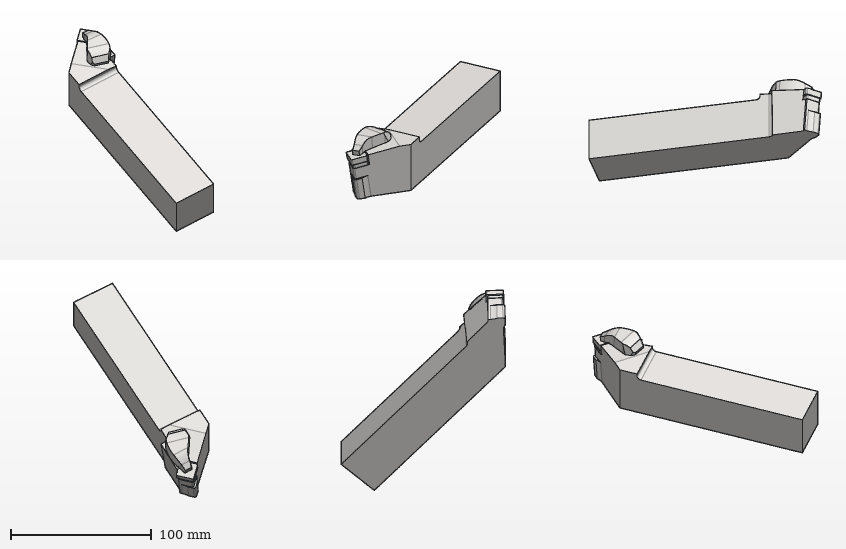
import cadquery as cq
import math

length = 169.5
shank_size = 31.9
head_height = 36.8
head_end_x = 44.7
head_step_radius = 2.9
head_side_y = 37.3
head_side_end_x = 35.0
head_side_radius = 3.0

seat_tilt = 8.0
insert_width = 12.7
insert_length = 12.0
insert_thickness = 4.5
insert_corner = 0.8
tip_y = 39.7
tip_z = 31.7

face_setback = 0.7
overhang = 1.4
nose_radius = 1.0
pocket_gap = 0.8
nose_block_length = 32.2
body_front = 20.3

shim_thickness = 3.2
shim_end_setback = 1.0
shim_face_setback = 0.3
shim_bottom = insert_thickness + shim_thickness

pad_depth = 8.5
pad_stand_out = 0.8
pad_flat = 5.6
pad_reach = 10.3
pad_radius = 1.5
pad_inner = 5.1

clamp_base_z = 30.5
clamp_height = 15.3
clamp_draft = 4.0
crown_x = 24.7
crown_y = 18.6
crown_z = 43.7
crown_roll = 4.0
crown_pitch = 4.0
flank_y = 19.3
flank_lean = 18.0

finger_tip_near = (6.0, 28.1)
finger_tip_far = (6.0, 33.7)
finger_neck_far = (11.0, 35.1)
finger_back_bulge = (19.2, 37.1)
finger_back_end = (29.5, 36.6)
finger_shoulder = (32.7, 35.5)
finger_heel_far = (39.7, 28.8)
finger_heel_near = (37.0, 18.8)
finger_heel_bulge = (32.4, 16.3)
finger_waist = (27.1, 18.0)
finger_bend = (18.3, 23.7)
finger_hollow = (14.5, 26.1)
finger_neck_near = (10.2, 27.1)

crown_tip = (-18.6, -5.6)
crown_slope_end = (-14.4, -3.2)
crown_back = (-10.5, -1.2)
crown_flat_start = (-6.1, 0)

ramp_turn = 15.0
ramp_curve = 7.5
ramp_curve_drop = 2.4
ramp_flat = 6.8
ramp_flat_drop = 8.1

big = 101.7

diagonal = math.sqrt(0.5)
sin_tilt = math.sin(math.radians(seat_tilt))
cos_tilt = math.cos(math.radians(seat_tilt))
corner_loss = insert_corner * (math.sqrt(2) - 1)
corner_x = -corner_loss
corner_y = tip_y + corner_loss - insert_width * diagonal
seat = cq.Plane(
    origin=(corner_x, corner_y, tip_z),
    xDir=(diagonal, diagonal, 0),
    normal=(-diagonal * sin_tilt, diagonal * sin_tilt, cos_tilt),
)


def on_seat(x, y):
    """Seat coordinates of the seat-plane point above plan position (x, y)."""
    dx = x - corner_x
    dy = y - corner_y
    return (dx + dy) * diagonal, (dy - dx) * diagonal / cos_tilt


def seat_sketch(depth=0.0):
    """Workplane parallel to the seat, the given depth below it."""
    return cq.Workplane(seat).workplane(offset=-depth)


def seat_block(x0, x1, y0, y1, bottom, top):
    """Block with its sides along the seat axes."""
    corners = [(x0, y0), (x1, y0), (x1, y1), (x0, y1)]
    return seat_sketch(-bottom).polyline(corners).close().extrude(top - bottom)


def round_corners(plate):
    """Round the four edges of a plate that stand square to the seat."""
    return plate.edges(cq.selectors.ParallelDirSelector(seat.zDir)).fillet(insert_corner)


def make_body():
    """Shank and raised head with the slanted front face."""
    face_sum = corner_x + corner_y + face_setback / diagonal
    front_x = corner_x + (face_setback + body_front) * diagonal
    step_low_x = head_end_x + head_step_radius
    plan = [
        (face_sum, 0),
        (length, 0),
        (length, shank_size),
        (head_side_end_x, shank_size),
        (front_x, face_sum - front_x),
    ]
    body = cq.Workplane("XY").polyline(plan).close().extrude(head_height)
    arc_in = head_step_radius * (1 - diagonal)
    step = (
        cq.Workplane("XZ")
        .moveTo(head_end_x, head_height)
        .lineTo(head_end_x, shank_size + head_step_radius)
        .threePointArc((head_end_x + arc_in, shank_size + arc_in), (step_low_x, shank_size))
        .lineTo(length, shank_size)
        .lineTo(length, head_height)
        .close()
        .extrude(-shank_size)
    )
    return body.cut(step)


def make_nose():
    """Leaning block that carries the seat, square to the seat plane."""
    side_x = insert_width - overhang
    side_y = (head_side_y - corner_y) / diagonal - side_x
    round_in = nose_radius * (1 - diagonal)
    block = (
        seat_sketch()
        .moveTo(face_setback, -face_setback - nose_radius)
        .threePointArc(
            (face_setback + round_in, -face_setback - round_in),
            (face_setback + nose_radius, -face_setback),
        )
        .lineTo(side_x, -face_setback)
        .lineTo(side_x, side_y / cos_tilt)
        .lineTo(*on_seat(head_side_end_x + head_side_radius, head_side_y))
        .lineTo(*on_seat(head_side_end_x + head_side_radius, shank_size))
        .lineTo(face_setback, -nose_block_length)
        .close()
        .extrude(-big)
    )
    return block.cut(make_side_step())


def make_side_step():
    """Upright space beside the shank where the head flank steps back in."""
    arc_in = head_side_radius * (1 - diagonal)
    return (
        cq.Workplane("XY")
        .moveTo(head_side_end_x, big)
        .lineTo(head_side_end_x, shank_size + head_side_radius)
        .threePointArc(
            (head_side_end_x + arc_in, shank_size + arc_in),
            (head_side_end_x + head_side_radius, shank_size),
        )
        .lineTo(big, shank_size)
        .lineTo(big, big)
        .close()
        .extrude(big)
    )


def make_pad():
    """Raised pad around the lower nose corner, running out into both faces."""
    face = -pad_stand_out
    run_out = (pad_flat + pad_reach) / 2
    round_in = pad_radius * (1 - diagonal)
    face_rise = face_setback + pad_stand_out
    return (
        seat_sketch(shim_bottom + pad_depth)
        .moveTo(face_setback, -pad_reach)
        .threePointArc((face_setback - face_rise / 4, -run_out), (face, -pad_flat))
        .lineTo(face, -pad_radius)
        .threePointArc((face + round_in, -round_in), (face + pad_radius, 0))
        .lineTo(face + pad_flat, 0)
        .threePointArc((face + run_out, -face_setback * 3 / 4), (face + pad_reach, -face_setback))
        .lineTo(face + pad_reach, -face_setback - pad_inner)
        .lineTo(face_setback + pad_inner, -pad_reach)
        .close()
        .extrude(-big)
    )


def make_shim():
    """Plate on the pocket floor that carries the insert."""
    shim = seat_block(
        shim_face_setback, insert_width - overhang,
        -insert_length, -shim_end_setback,
        -shim_bottom, -insert_thickness,
    )
    return round_corners(shim)


def make_insert():
    """Nearly square plate with rounded corners, flush with the seat plane."""
    insert = seat_block(0, insert_width, -insert_length, 0, -insert_thickness, 0)
    return round_corners(insert)


def lean_crown(tool):
    """Tip a clamp-shaping tool, drawn about the origin, and move it to the crown point."""
    return (
        tool.rotate((0, 0, 0), (0, 1, 0), -crown_pitch)
        .rotate((0, 0, 0), (1, 0, 0), -crown_roll)
        .translate((crown_x, crown_y, crown_z))
    )


def make_crown():
    """Space under the crown: sloping tip, rounded back and flat top."""
    profile = (
        cq.Workplane("XZ")
        .moveTo(crown_tip[0], -big)
        .lineTo(*crown_tip)
        .lineTo(*crown_slope_end)
        .threePointArc(crown_back, crown_flat_start)
        .lineTo(big, 0)
        .lineTo(big, -big)
        .close()
    )
    return lean_crown(profile.extrude(big, both=True))


def make_ramp():
    """Space under the rear ramp, which rounds off the crown and drops to the head."""
    ramp_end = ramp_curve + ramp_flat
    profile = (
        cq.Workplane("XZ")
        .moveTo(-big, -big)
        .lineTo(-big, 0)
        .lineTo(0, 0)
        .threePointArc((ramp_curve / 2, -ramp_curve_drop / 4), (ramp_curve, -ramp_curve_drop))
        .lineTo(ramp_end, -ramp_curve_drop - ramp_flat_drop)
        .lineTo(ramp_end, -big)
        .close()
    )
    return lean_crown(profile.extrude(big, both=True).rotate((0, 0, 0), (0, 0, 1), -ramp_turn))


def make_flank():
    """Space behind the leaning -Y flank beside the ramp."""
    half_space = cq.Workplane("XY").box(big, big, 2 * big, centered=(True, False, True))
    leaning = half_space.rotate((0, 0, 0), (1, 0, 0), -flank_lean)
    return leaning.translate((crown_x, flank_y, crown_z))


def make_clamp():
    """Finger clamp: drafted outline under the crown and the rear ramp."""
    finger = (
        cq.Workplane("XY", origin=(0, 0, clamp_base_z))
        .moveTo(*finger_tip_near)
        .lineTo(*finger_tip_far)
        .lineTo(*finger_neck_far)
        .threePointArc(finger_back_bulge, finger_back_end)
        .lineTo(*finger_shoulder)
        .lineTo(*finger_heel_far)
        .lineTo(*finger_heel_near)
        .threePointArc(finger_heel_bulge, finger_waist)
        .lineTo(*finger_bend)
        .threePointArc(finger_hollow, finger_neck_near)
        .close()
        .extrude(clamp_height, taper=clamp_draft)
    )
    return finger.intersect(make_crown()).intersect(make_ramp()).intersect(make_flank())


above_seat = seat_block(-big, big, -big, big, 0, big)
below_base = cq.Workplane("XY").rect(4 * big, 4 * big).extrude(-2 * big)
pocket = seat_block(
    -insert_width, insert_width,
    -insert_length - pocket_gap, insert_length,
    -shim_bottom, insert_thickness,
)

insert = make_insert()
head = make_body().union(make_nose()).cut(above_seat).cut(pocket)
head = head.union(make_pad()).cut(below_base).union(make_shim())
holder = head.union(make_clamp().intersect(above_seat))

result = cq.Compound.makeCompound([holder.solids().val(), insert.solids().val()])